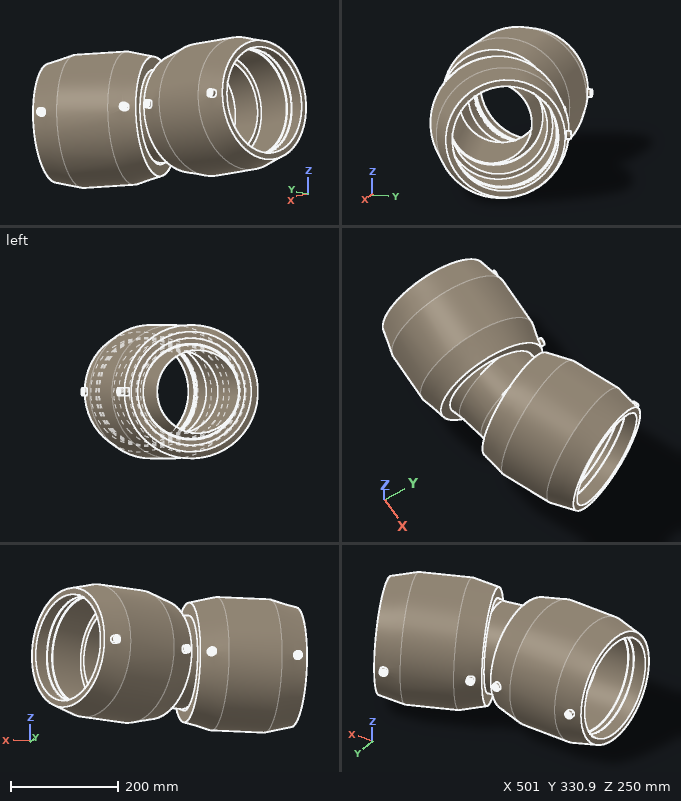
import cadquery as cq
import math

bend_angle = 24.0
coupling_length = 205.0
coupling_radius = 250.0 / 2
end_face_radius = 112.0
taper_length = 51.5
bore_radius = 200.0 / 2
bore_depth = 105.0
pivot_gap = 33.0
pivot_x = coupling_length + pivot_gap

groove_start = 27.0
groove_width = 12.5
groove_depth = 2.0

neck_radius = 175.5 / 2
inner_bore_radius = 180.0 / 2
inner_bore_depth = 185.5
neck_bore_radius = 155.5 / 2
neck_bore_length = 188.5
nose_base_radius = 93.0
neck_length = 61.0
flare_radius = 200.0 / 2
flare_start = 180.5

terminal_radius = 7.5
terminal_bore_radius = 10.0 / 2
pin_radius = 4.0 / 2
terminal_inset = 20.0
terminal_base = 110.0
terminal_floor = 118.0

half_bend = math.radians(bend_angle / 2)
neck_direction = cq.Vector(math.cos(half_bend), math.sin(half_bend), 0)
neck_center = cq.Vector(pivot_x, pivot_gap * math.sin(half_bend), 0)


def disc(radius, start, length):
    """Cylinder along X, from start to start + length."""
    return cq.Workplane("YZ", origin=(start, 0, 0)).circle(radius).extrude(length)


def tube_start(length):
    return neck_center - neck_direction * (length / 2)


def neck_tube(radius, length):
    """Cylinder on the neck axis, centred on the plane of symmetry."""
    return cq.Workplane(cq.Solid.makeCylinder(radius, length, tube_start(length), neck_direction))


def neck_flare():
    """Loft from a circle square to the coupling axis to the tilted start of the neck."""
    coupling_end = cq.Wire.makeCircle(flare_radius, cq.Vector(flare_start, 0, 0), cq.Vector(1, 0, 0))
    neck_end = cq.Wire.makeCircle(neck_radius, tube_start(neck_length), neck_direction)
    return cq.Workplane(cq.Solid.makeLoft([coupling_end, neck_end], True))


def neck_nose():
    """Cone that thins the neck to a sharp rim inside the coupling's inner bore."""
    length = (neck_bore_length - neck_length) / 2
    start = tube_start(neck_bore_length)
    cone = cq.Solid.makeCone(neck_bore_radius, nose_base_radius, length, start, neck_direction)
    return cq.Workplane(cone)


def barrel():
    taper_end = coupling_length - taper_length
    return (
        cq.Workplane("XY")
        .polyline([
            (0, 0),
            (0, end_face_radius),
            (taper_length, coupling_radius),
            (taper_end, coupling_radius),
            (coupling_length, end_face_radius),
            (coupling_length, 0),
        ])
        .close()
        .revolve(360, (0, 0, 0), (1, 0, 0))
    )


def post(radius, x, base):
    """Cylinder along +Y that ends flush with the largest coupling radius."""
    plane = cq.Plane(origin=(x, base, 0), xDir=(1, 0, 0), normal=(0, 1, 0))
    return cq.Workplane(plane).circle(radius).extrude(coupling_radius - base)


def add_terminal(body, x):
    body = body.union(post(terminal_radius, x, terminal_base))
    body = body.cut(post(terminal_bore_radius, x, terminal_floor))
    return body.union(post(pin_radius, x, terminal_base))


def coupling():
    body = barrel()
    for x in (terminal_inset, coupling_length - terminal_inset):
        body = add_terminal(body, x)
    return body


def coupling_cavity():
    """Stepped, grooved bore with the nose of the neck left standing inside it."""
    bore = disc(bore_radius, 0, bore_depth)
    groove = disc(bore_radius + groove_depth, groove_start, groove_width)
    inner_bore = disc(inner_bore_radius, 0, inner_bore_depth).cut(neck_nose())
    return bore.union(groove).union(inner_bore)


def both_sides(shape):
    """Join a near-side shape to its mirror image about the plane that bisects the bend."""
    far_side = (
        shape.translate((-pivot_x, 0, 0))
        .mirror("YZ")
        .rotate((0, 0, 0), (0, 0, 1), bend_angle)
        .translate((pivot_x, 0, 0))
    )
    return shape.union(far_side)


outer = both_sides(coupling().union(neck_flare())).union(neck_tube(neck_radius, neck_length))
neck_bore = neck_tube(neck_bore_radius, neck_bore_length)
result = outer.cut(both_sides(coupling_cavity())).cut(neck_bore)